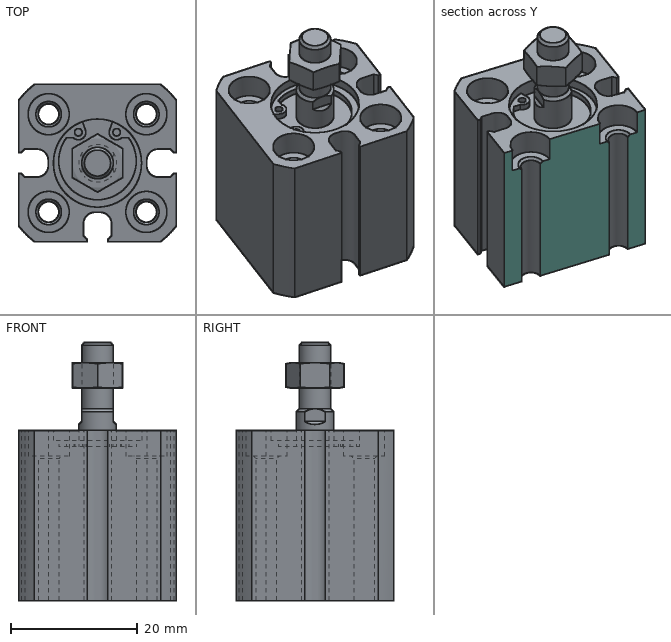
import cadquery as cq
import math


HOUSING_SIDE = 25.0
HOUSING_HEIGHT = 27.0
CORNER_ROUND_DIAMETER = 32.02

SLOT_MOUTH_WIDTH = 3.3
SLOT_WIDTH = 4.4
SLOT_DEPTH = 4.67
SLOT_LIP = 0.4
SLOT_CORNER_DIAMETER = 3.5
SLOT_ANGLES = (0, 180, 270)

MOUNT_PITCH = 15.5
MOUNT_HOLE_DIAMETER = 3.25
MOUNT_CHAMFER_DIAMETER = 4.05
MOUNT_COUNTERBORE_DIAMETER = 6.5
MOUNT_COUNTERBORE_DEPTH = 4.0

RECESS_DIAMETER = 14.0
RECESS_DEPTH = 2.5
RING_THICKNESS = 1.0
RING_INNER_RADIUS = 6.15
RING_INNER_OFFSET = 0.33
RING_GAP_HALF_ANGLE = 20.0
LUG_X = 3.05
LUG_Y = 4.88
LUG_EDGE_Y = 3.98
LUG_HOLE_DIAMETER = 1.2

TOTAL_HEIGHT = 41.0
ROD_DIAMETER = 6.0
ROD_SHOULDER_Z = 30.45
THREAD_DIAMETER = 5.0
THREAD_TIP_DIAMETER = 4.15
ROD_CHAMFER = 0.5
FLAT_SPACING = 5.0
FLAT_BOTTOM_Z = 28.45

NUT_TOP_Z = 37.75
NUT_HEIGHT = 4.0
NUT_ACROSS_FLATS = 8.0
NUT_FACE_DIAMETER = 7.85
NUT_CHAMFER_ANGLE = 13.0

recess_floor_z = HOUSING_HEIGHT - RECESS_DEPTH


def polar(radius, angle):
    """Point at a radius and an angle in degrees, counted from +X."""
    return (radius * math.cos(math.radians(angle)), radius * math.sin(math.radians(angle)))


def make_block():
    block = cq.Workplane("XY").rect(HOUSING_SIDE, HOUSING_SIDE).extrude(HOUSING_HEIGHT)
    corner_round = cq.Workplane("XY").circle(CORNER_ROUND_DIAMETER / 2).extrude(HOUSING_HEIGHT)
    return block.intersect(corner_round)


def make_slot(angle):
    """Slot that opens to the +X side, turned about the axis by the angle."""
    mouth_x = HOUSING_SIDE / 2
    bottom_x = mouth_x - SLOT_DEPTH
    lip_x = mouth_x - SLOT_LIP
    mouth_half = SLOT_MOUTH_WIDTH / 2
    half = SLOT_WIDTH / 2
    wide_x = lip_x - (half - mouth_half)
    slot = (
        cq.Workplane("XY")
        .polyline([
            (mouth_x, -mouth_half),
            (lip_x, -mouth_half),
            (wide_x, -half),
            (bottom_x, -half),
            (bottom_x, half),
            (wide_x, half),
            (lip_x, mouth_half),
            (mouth_x, mouth_half),
        ])
        .close()
        .extrude(HOUSING_HEIGHT)
        .edges("|Z and <X")
        .fillet(SLOT_CORNER_DIAMETER / 2)
    )
    return slot.rotate((0, 0, 0), (0, 0, 1), angle)


def make_mount_hole():
    """Through hole with a counterbore and a chamfered mouth, revolved about the Z axis."""
    hole = MOUNT_HOLE_DIAMETER / 2
    chamfer = MOUNT_CHAMFER_DIAMETER / 2
    counterbore = MOUNT_COUNTERBORE_DIAMETER / 2
    seat_z = HOUSING_HEIGHT - MOUNT_COUNTERBORE_DEPTH
    return (
        cq.Workplane("XZ")
        .polyline([
            (0, 0),
            (hole, 0),
            (hole, seat_z - (chamfer - hole)),
            (chamfer, seat_z),
            (counterbore, seat_z),
            (counterbore, HOUSING_HEIGHT),
            (0, HOUSING_HEIGHT),
        ])
        .close()
        .revolve(360, (0, 0), (0, 1))
    )


def make_ring():
    """Retaining ring, one piece with the housing, with two drilled lugs beside a gap on the +Y side."""
    outer_radius = RECESS_DIAMETER / 2
    gap_angle = 90 + RING_GAP_HALF_ANGLE

    edge_x, edge_y = polar(1, gap_angle)
    touch_distance = -LUG_X * edge_x + LUG_Y * edge_y
    lug_radius = abs(-LUG_X * edge_y - LUG_Y * edge_x)
    touch = polar(touch_distance, gap_angle)

    lug_edge_drop = LUG_Y - LUG_EDGE_Y
    lug_start_x = LUG_X + math.sqrt(lug_radius**2 - lug_edge_drop**2)
    inner_end_x = math.sqrt(RING_INNER_RADIUS**2 - (LUG_EDGE_Y - RING_INNER_OFFSET) ** 2)
    lug_bottom = (LUG_X, LUG_Y - lug_radius)
    gap_corner = polar(outer_radius, gap_angle)

    ring = (
        cq.Workplane("XY")
        .moveTo(*gap_corner)
        .threePointArc((0, -outer_radius), (-gap_corner[0], gap_corner[1]))
        .lineTo(-touch[0], touch[1])
        .threePointArc(lug_bottom, (lug_start_x, LUG_EDGE_Y))
        .lineTo(inner_end_x, LUG_EDGE_Y)
        .threePointArc((0, RING_INNER_OFFSET - RING_INNER_RADIUS), (-inner_end_x, LUG_EDGE_Y))
        .lineTo(-lug_start_x, LUG_EDGE_Y)
        .threePointArc((-lug_bottom[0], lug_bottom[1]), touch)
        .close()
        .extrude(RING_THICKNESS)
    )
    lug_holes = (
        cq.Workplane("XY")
        .pushPoints([(-LUG_X, LUG_Y), (LUG_X, LUG_Y)])
        .circle(LUG_HOLE_DIAMETER / 2)
        .extrude(RING_THICKNESS)
    )
    return ring.cut(lug_holes).translate((0, 0, recess_floor_z))


def make_housing():
    housing = make_block()
    for angle in SLOT_ANGLES:
        housing = housing.cut(make_slot(angle))
    mount_hole = make_mount_hole()
    for x in (-MOUNT_PITCH / 2, MOUNT_PITCH / 2):
        for y in (-MOUNT_PITCH / 2, MOUNT_PITCH / 2):
            housing = housing.cut(mount_hole.translate((x, y, 0)))
    recess = (
        cq.Workplane("XY")
        .workplane(offset=recess_floor_z)
        .circle(RECESS_DIAMETER / 2)
        .extrude(RECESS_DEPTH)
    )
    return housing.cut(recess).union(make_ring())


def make_rod():
    """Stepped rod that stands on the recess floor, with two wrench flats under the thread."""
    rod_radius = ROD_DIAMETER / 2
    thread_radius = THREAD_DIAMETER / 2
    rod = (
        cq.Workplane("XZ")
        .polyline([
            (0, recess_floor_z),
            (rod_radius, recess_floor_z),
            (rod_radius, ROD_SHOULDER_Z - ROD_CHAMFER),
            (thread_radius, ROD_SHOULDER_Z),
            (thread_radius, TOTAL_HEIGHT - ROD_CHAMFER),
            (THREAD_TIP_DIAMETER / 2, TOTAL_HEIGHT),
            (0, TOTAL_HEIGHT),
        ])
        .close()
        .revolve(360, (0, 0), (0, 1))
    )
    flat_x = FLAT_SPACING / 2
    ramp = rod_radius - flat_x
    flat_cut = (
        cq.Workplane("XZ")
        .polyline([
            (flat_x, ROD_SHOULDER_Z),
            (flat_x, FLAT_BOTTOM_Z),
            (rod_radius, FLAT_BOTTOM_Z - ramp),
            (rod_radius, ROD_SHOULDER_Z),
        ])
        .close()
        .extrude(rod_radius, both=True)
    )
    return rod.cut(flat_cut).cut(flat_cut.mirror("YZ"))


def make_nut():
    """Hexagon nut with corners along Y, conical on both faces and bored to the thread diameter."""
    corner_radius = NUT_ACROSS_FLATS / math.sqrt(3)
    face_radius = NUT_FACE_DIAMETER / 2
    cone_height = (corner_radius - face_radius) * math.tan(math.radians(NUT_CHAMFER_ANGLE))
    hexagon = (
        cq.Workplane("XY")
        .polygon(6, 2 * corner_radius)
        .extrude(NUT_HEIGHT)
        .rotate((0, 0, 0), (0, 0, 1), 90)
    )
    turned_blank = (
        cq.Workplane("XZ")
        .polyline([
            (THREAD_DIAMETER / 2, 0),
            (face_radius, 0),
            (corner_radius, cone_height),
            (corner_radius, NUT_HEIGHT - cone_height),
            (face_radius, NUT_HEIGHT),
            (THREAD_DIAMETER / 2, NUT_HEIGHT),
        ])
        .close()
        .revolve(360, (0, 0), (0, 1))
    )
    return hexagon.intersect(turned_blank).translate((0, 0, NUT_TOP_Z - NUT_HEIGHT))


housing = make_housing()
rod = make_rod()
nut = make_nut()

result = cq.Compound.makeCompound([housing.val(), rod.val(), nut.val()])